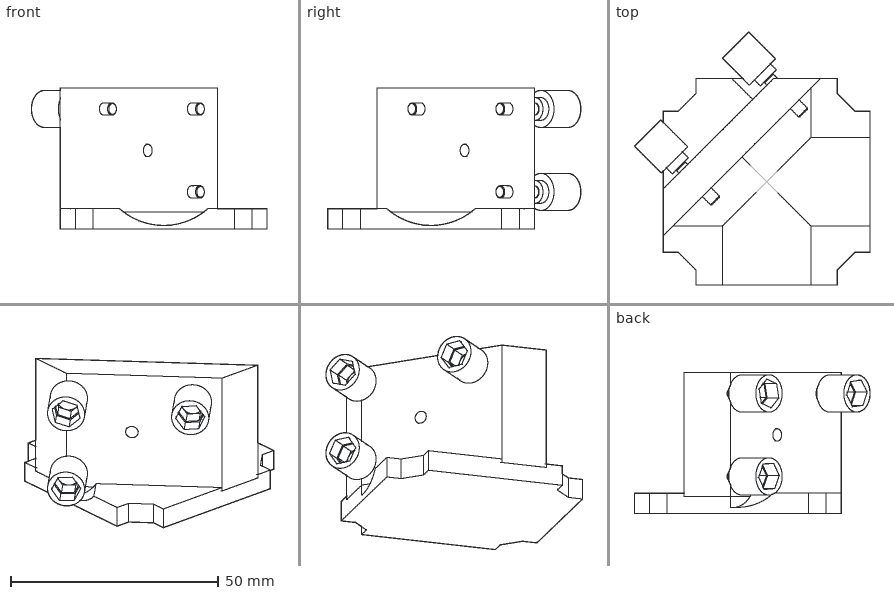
import cadquery as cq
import math

base_side = 49.9
base_thickness = 5.0
corner_notch = 7.9
corner_web_width = 6.0
channel_radius = 16.0
channel_floor = 0.9

plate_thickness = 8.0
plate_height = 30.0
plate_bottom = 4.1
plate_front = 8.43
plate_center_hole = 3.0

pattern_shift = 3.0
pattern_height = 19.0
screw_spacing_along = 30.0
screw_spacing_up = 20.0
screw_diameter = 3.0
screw_length = 12.0
screw_head_diameter = 5.5
screw_head_height = 3.0
screw_neck_diameter = 2.9
screw_neck_length = 0.2
screw_tip_chamfer = 0.2
head_gap = 1.0

knob_diameter = 9.0
knob_length = 9.2
head_exposed = 2.0
mouth_hex_flats = 6.1
mouth_hex_depth = 4.0
inner_hex_flats = 5.5
knob_clearance_diameter = 15.0

screw_stations = [
    (-1, 1, 12.0),
    (-1, -1, 33.5),
    (1, 1, 35.5),
]

plate_back = plate_front + plate_thickness
half_side = base_side / 2


def plate_plane(distance):
    """Plane parallel to the plate, facing its back; origin on the axis of the centre hole."""
    along = pattern_shift / math.sqrt(2)
    out = distance / math.sqrt(2)
    return cq.Plane(
        origin=(along - out, along + out, pattern_height),
        xDir=(-1, -1, 0),
        normal=(-1, 1, 0),
    )


def station_point(along_side, up_side):
    return along_side * screw_spacing_along / 2, up_side * screw_spacing_up / 2


def hexagon(workplane, flats, turn):
    return workplane.transformed(rotate=(0, 0, turn)).polygon(6, flats, circumscribed=True)


def make_plate():
    front_offset = plate_front * math.sqrt(2)
    back_offset = plate_back * math.sqrt(2)
    plate = (
        cq.Workplane("XY", origin=(0, 0, plate_bottom))
        .polyline([
            (-half_side, front_offset - half_side),
            (half_side - front_offset, half_side),
            (half_side - back_offset, half_side),
            (-half_side, back_offset - half_side),
        ])
        .close()
        .extrude(plate_height)
    )
    front = cq.Workplane(plate_plane(plate_front))
    plate = plate.cut(front.circle(plate_center_hole / 2).extrude(plate_thickness))
    for along_side, up_side, _ in screw_stations:
        hole = front.center(*station_point(along_side, up_side)).circle(screw_diameter / 2)
        plate = plate.cut(hole.extrude(plate_thickness))
    return plate


def make_base(plate):
    slab_height = (0, 0, base_thickness / 2)
    base = cq.Workplane("XY").box(base_side, base_side, base_thickness).translate(slab_height)

    inner = half_side - corner_notch
    step = inner + corner_web_width / math.sqrt(2)
    bite = (
        cq.Workplane("XY")
        .polyline([
            (half_side, inner),
            (step, inner),
            (inner, step),
            (inner, half_side),
            (half_side, half_side),
        ])
        .close()
        .extrude(base_thickness)
    )
    for corner in range(4):
        base = base.cut(bite.rotate((0, 0, 0), (0, 0, 1), 90 * corner))

    channel_axis_height = channel_floor + channel_radius
    channels = None
    for plane in ("XZ", "YZ"):
        channel = (
            cq.Workplane(plane)
            .center(0, channel_axis_height)
            .circle(channel_radius)
            .extrude(half_side, both=True)
        )
        channels = channel if channels is None else channels.union(channel)
    behind_plate_front = (
        cq.Workplane(plate_plane(plate_front))
        .rect(4 * base_side, 4 * base_side)
        .extrude(base_side)
    )
    base = base.cut(channels.cut(behind_plate_front))

    base = base.cut(plate)

    low_point = station_point(-1, -1)
    clearance = (
        cq.Workplane(plate_plane(plate_back))
        .center(*low_point)
        .circle(knob_clearance_diameter / 2)
        .extrude(base_side)
    )
    return base.cut(clearance)


def make_screw(along_side, up_side):
    point = station_point(along_side, up_side)
    head_plane = plate_plane(plate_back + head_gap)
    start = cq.Workplane(head_plane).center(*point)
    head = start.circle(screw_head_diameter / 2).extrude(screw_head_height)
    neck = start.circle(screw_neck_diameter / 2).extrude(-screw_neck_length)
    shank = (
        start.workplane(offset=-screw_length)
        .circle(screw_diameter / 2)
        .extrude(screw_length - screw_neck_length)
        .faces(cq.selectors.DirectionMinMaxSelector(head_plane.zDir, False))
        .chamfer(screw_tip_chamfer)
    )
    return head.union(neck).union(shank)


def make_knob(along_side, up_side, hex_turn):
    point = station_point(along_side, up_side)
    inner_face = plate_back + head_gap + head_exposed
    start = cq.Workplane(plate_plane(inner_face)).center(*point)
    head_seat_depth = screw_head_height - head_exposed
    knob = start.circle(knob_diameter / 2).extrude(knob_length)
    seat = start.circle(screw_head_diameter / 2).extrude(head_seat_depth)
    bore = start.workplane(offset=head_seat_depth)
    inner_hex = hexagon(bore, inner_hex_flats, hex_turn).extrude(knob_length - head_seat_depth)
    mouth = start.workplane(offset=knob_length - mouth_hex_depth)
    mouth_hex = hexagon(mouth, mouth_hex_flats, hex_turn).extrude(mouth_hex_depth)
    return knob.cut(seat).cut(inner_hex).cut(mouth_hex)


plate = make_plate()
base = make_base(plate)
bodies = [base.val(), plate.val()]
for along_side, up_side, hex_turn in screw_stations:
    bodies.append(make_screw(along_side, up_side).val())
    bodies.append(make_knob(along_side, up_side, hex_turn).val())

result = cq.Compound.makeCompound(bodies)